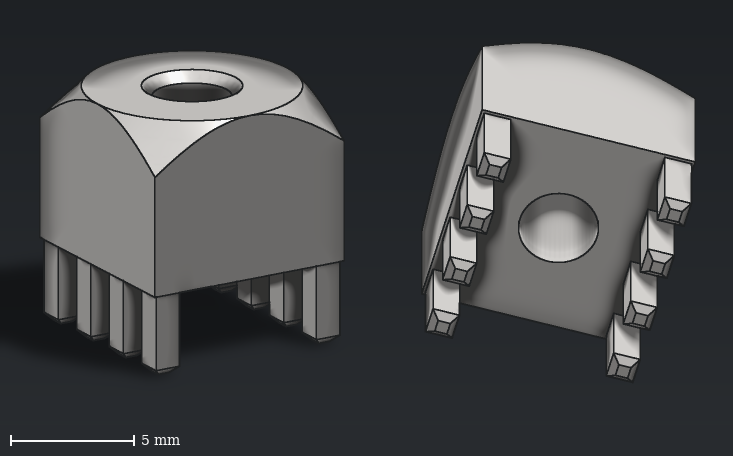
import cadquery as cq

total_height = 10.5
body_width = 9.0
body_height = 7.0
bore_diameter = 3.24
countersink_diameter = 4.12
pin_width = 1.12
pin_pitch = 2.54
pins_per_row = 4
pin_tip_chamfer = 0.3

pin_length = total_height - body_height
row_spacing = (pins_per_row - 1) * pin_pitch
countersink_depth = (countersink_diameter - bore_diameter) / 2


def make_crown_envelope():
    """Cylinder around the body corners, turned down to a 45 degree cone at the top."""
    top_radius = body_width / 2
    outer_radius = body_width
    cone_height = outer_radius - top_radius
    cone_base = body_height - cone_height
    return (
        cq.Workplane("XZ")
        .polyline([
            (0, 0),
            (outer_radius, 0),
            (outer_radius, cone_base),
            (top_radius, body_height),
            (0, body_height),
        ])
        .close()
        .revolve(360, (0, 0, 0), (0, 1, 0))
    )


def make_body():
    """Square block with a conical crown and a countersunk through bore."""
    block = cq.Workplane("XY").box(body_width, body_width, body_height, centered=(True, True, False))
    return (
        block.intersect(make_crown_envelope())
        .faces(">Z")
        .workplane(origin=(0, 0, body_height))
        .hole(bore_diameter)
        .cut(make_countersink())
    )


def make_countersink():
    """Inverted 45 degree cone frustum at the mouth of the bore."""
    return (
        cq.Workplane("XY", origin=(0, 0, body_height))
        .circle(countersink_diameter / 2)
        .extrude(-countersink_depth, taper=45)
    )


def make_pins():
    """Two parallel rows of square pins with chamfered tips."""
    pin = (
        cq.Workplane("XY")
        .rect(pin_width, pin_width)
        .extrude(-pin_length)
        .faces("<Z")
        .chamfer(pin_tip_chamfer)
    )
    pins = cq.Workplane("XY")
    for row_y in (-row_spacing / 2, row_spacing / 2):
        for index in range(pins_per_row):
            pin_x = (index - (pins_per_row - 1) / 2) * pin_pitch
            pins = pins.add(pin.translate((pin_x, row_y, 0)))
    return pins


result = make_body()
for pin_solid in make_pins().vals():
    result = result.union(cq.Workplane(pin_solid))